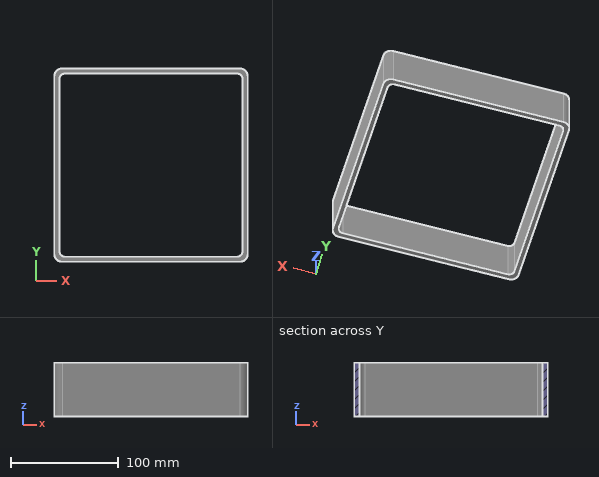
import cadquery as cq

side = 180.0
height = 50.0
wall = 5.0
outer_radius = 7.5
inner_radius = 5.0


def rounded_block(width, corner_radius):
    """Square block standing on Z = 0, with its vertical edges rounded."""
    block = cq.Workplane("XY").rect(width, width).extrude(height)
    return block.edges("|Z").fillet(corner_radius)


outer_block = rounded_block(side, outer_radius)
opening = rounded_block(side - 2 * wall, inner_radius)

result = outer_block.cut(opening)